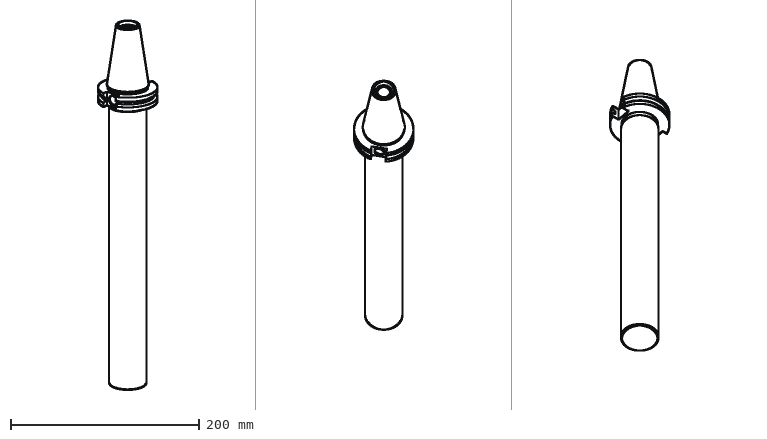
import cadquery as cq
import math

length = 408.2

gauge_depth = 68.0
flange_top_depth = 71.5
flange_bottom_depth = 87.0
body_top_depth = 92.0

small_end_diameter = 25.0
taper_ratio = 7 / 24
end_chamfer_height = 1.5
end_chamfer_width = 1.2
gauge_diameter = small_end_diameter + taper_ratio * gauge_depth
collar_diameter = 43.3
collar_step = 2.0

flange_diameter = 63.3
groove_floor_diameter = 56.5
groove_floor_width = 2.5
groove_half_angle = 30
groove_centre_depth = 79.0

body_diameter = 40.0
neck_diameter = 39.0
body_chamfer = 1.2

slot_width = 16.5
front_slot_floor = 25.0
rear_slot_floor = 22.5

drill_point_angle = 118
front_hole_diameter = 10.5
front_hole_depth = 1.2
bore_diameter = 13.5
bore_depth = 41.0
mouth_diameter = 16.5
mouth_depth = 5.0
countersink_diameter = 20.5
countersink_half_angle = 30


def height(depth):
    """Z of a level given its distance down from the small end."""
    return length - depth


def turned_body():
    groove_radial_depth = (flange_diameter - groove_floor_diameter) / 2
    half_floor = groove_floor_width / 2
    half_mouth = half_floor + groove_radial_depth * math.tan(math.radians(groove_half_angle))
    shoulder_chamfer = (body_diameter - neck_diameter) / 2
    chamfer_base_radius = (small_end_diameter + taper_ratio * end_chamfer_height) / 2
    flange_radius = flange_diameter / 2
    body_radius = body_diameter / 2

    profile = [
        (0, 0),
        (body_radius - body_chamfer, 0),
        (body_radius, body_chamfer),
        (body_radius, height(body_top_depth + shoulder_chamfer)),
        (neck_diameter / 2, height(body_top_depth)),
        (neck_diameter / 2, height(flange_bottom_depth)),
        (flange_radius, height(flange_bottom_depth)),
        (flange_radius, height(groove_centre_depth + half_mouth)),
        (groove_floor_diameter / 2, height(groove_centre_depth + half_floor)),
        (groove_floor_diameter / 2, height(groove_centre_depth - half_floor)),
        (flange_radius, height(groove_centre_depth - half_mouth)),
        (flange_radius, height(flange_top_depth)),
        (collar_diameter / 2, height(flange_top_depth)),
        (collar_diameter / 2, height(gauge_depth + collar_step)),
        (gauge_diameter / 2, height(gauge_depth)),
        (chamfer_base_radius, height(end_chamfer_height)),
        (small_end_diameter / 2 - end_chamfer_width, length),
        (0, length),
    ]
    return cq.Workplane("XZ").polyline(profile).close().revolve(360, (0, 0), (0, 1))


def drive_slot(floor, direction):
    """Cutter for a slot through the flange, open outward along direction (+1 or -1) in Y."""
    radial_size = flange_diameter / 2
    flange_height = flange_bottom_depth - flange_top_depth
    middle_depth = (flange_bottom_depth + flange_top_depth) / 2
    centre = (0, direction * (floor + radial_size / 2), height(middle_depth))
    return cq.Workplane("XY").box(slot_width, radial_size, flange_height).translate(centre)


def drilled_hole(diameter, depth):
    """Cutter with a conical point, its mouth at the origin and its axis along -Z."""
    radius = diameter / 2
    point_length = radius / math.tan(math.radians(drill_point_angle / 2))
    outline = [(0, 0), (radius, 0), (radius, -depth), (0, -depth - point_length)]
    return cq.Workplane("XZ").polyline(outline).close().revolve(360, (0, 0), (0, 1))


def front_hole():
    hole = drilled_hole(front_hole_diameter, front_hole_depth)
    hole = hole.rotate((0, 0, 0), (1, 0, 0), 90)
    return hole.translate((0, -front_slot_floor, height(groove_centre_depth)))


def end_bore():
    bore = drilled_hole(bore_diameter, bore_depth)
    mouth = cq.Workplane("XY").circle(mouth_diameter / 2).extrude(-mouth_depth)
    countersink_run = (countersink_diameter - mouth_diameter) / 2
    countersink_depth = countersink_run / math.tan(math.radians(countersink_half_angle))
    countersink = (
        cq.Workplane("XY")
        .circle(countersink_diameter / 2)
        .extrude(-countersink_depth, taper=countersink_half_angle)
    )
    return bore.union(mouth).union(countersink).translate((0, 0, length))


result = (
    turned_body()
    .cut(drive_slot(front_slot_floor, -1))
    .cut(drive_slot(rear_slot_floor, 1))
    .cut(front_hole())
    .cut(end_bore())
)